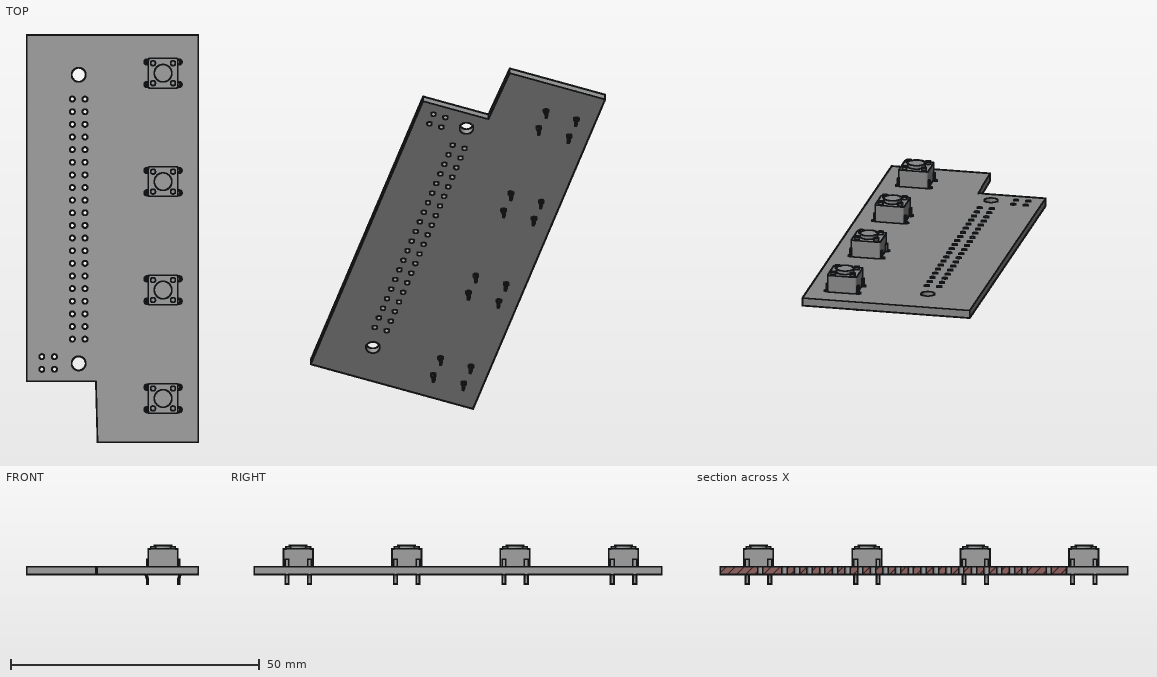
import cadquery as cq

BOARD_WIDTH = 34.5
BOARD_LENGTH = 82.0
BOARD_THICKNESS = 1.6
NOTCH_TOP_Y = -28.7
NOTCH_INNER_X = -3.4
NOTCH_OUTER_X = -3.0

HOLE_PITCH = 2.55
PIN_HOLE_DIAMETER = 1.0
HEADER_X = -6.8
HEADER_Y = 3.9
HEADER_COLUMNS = 2
HEADER_ROWS = 20
MOUNT_HOLE_DIAMETER = 2.8
MOUNT_HOLE_SPACING = 58.0
CORNER_GRID_X = -12.95
CORNER_GRID_Y = -25.0
CORNER_GRID_COUNT = 2

SWITCH_COUNT = 4
SWITCH_X = 10.2
SWITCH_PITCH = 21.8
SWITCH_COLUMN_Y = 0.6
CASE_SIZE = 6.0
CASE_HEIGHT = 3.5
CASE_CORNER_RADIUS = 0.3
BUTTON_DIAMETER = 3.5
BUTTON_HEIGHT = 0.7
STUD_DIAMETER = 1.0
STUD_HEIGHT = 0.5
STUD_SPACING = 4.0

LEG_WIDTH = 0.7
LEG_THICKNESS = 0.3
LEG_SPACING_Y = 4.5
LEG_TOP = 1.5
LEG_BOTTOM = -3.5
LEG_BEND_OFFSET = 0.25
LEG_BEND_END = -(BOARD_THICKNESS + 0.8)
LEG_HOLE_DIAMETER = 1.1
LEG_HOLE_OFFSET = 0.25
LEG_INNER_X = CASE_SIZE / 2
LEG_HOLE_X = LEG_INNER_X + LEG_HOLE_OFFSET

switch_places = [
    (SWITCH_X, SWITCH_COLUMN_Y + (index - (SWITCH_COUNT - 1) / 2) * SWITCH_PITCH)
    for index in range(SWITCH_COUNT)
]


def board_blank():
    """Flat plate with a slightly slanted notch in its -X, -Y corner."""
    right = BOARD_WIDTH / 2
    back = BOARD_LENGTH / 2
    outline = [
        (-right, back),
        (right, back),
        (right, -back),
        (NOTCH_OUTER_X, -back),
        (NOTCH_INNER_X, NOTCH_TOP_Y),
        (-right, NOTCH_TOP_Y),
    ]
    return cq.Workplane("XY").polyline(outline).close().extrude(-BOARD_THICKNESS)


def drills(places, diameter):
    """Cylinders through the board thickness at the given places."""
    return cq.Workplane("XY").pushPoints(places).circle(diameter / 2).extrude(-BOARD_THICKNESS)


def hole_grid(center_x, center_y, columns, rows):
    """Drills of a grid of pin holes on the common pitch."""
    places = (
        cq.Workplane("XY")
        .center(center_x, center_y)
        .rarray(HOLE_PITCH, HOLE_PITCH, columns, rows)
    )
    return places.circle(PIN_HOLE_DIAMETER / 2).extrude(-BOARD_THICKNESS)


def make_board():
    mount_places = [(HEADER_X, HEADER_Y + side * MOUNT_HOLE_SPACING / 2) for side in (-1, 1)]
    leg_places = [
        (x + side_x * LEG_HOLE_X, y + side_y * LEG_SPACING_Y / 2)
        for x, y in switch_places
        for side_x in (-1, 1)
        for side_y in (-1, 1)
    ]
    return (
        board_blank()
        .cut(hole_grid(HEADER_X, HEADER_Y, HEADER_COLUMNS, HEADER_ROWS))
        .cut(hole_grid(CORNER_GRID_X, CORNER_GRID_Y, CORNER_GRID_COUNT, CORNER_GRID_COUNT))
        .cut(drills(mount_places, MOUNT_HOLE_DIAMETER))
        .cut(drills(leg_places, LEG_HOLE_DIAMETER))
    )


def make_leg():
    """Leg on the +X side of the case: bulging outwards at the lower face of the board."""
    inner = LEG_INNER_X
    outer = inner + LEG_THICKNESS
    profile = [
        (inner, LEG_TOP),
        (outer, LEG_TOP),
        (outer, 0),
        (outer + LEG_BEND_OFFSET, -BOARD_THICKNESS),
        (outer, LEG_BEND_END),
        (outer, LEG_BOTTOM),
        (inner, LEG_BOTTOM),
        (inner, LEG_BEND_END),
        (inner + LEG_BEND_OFFSET, -BOARD_THICKNESS),
        (inner, 0),
    ]
    return cq.Workplane("XZ").polyline(profile).close().extrude(LEG_WIDTH / 2, both=True)


def make_switch():
    """Round-cornered case with a round button, four corner studs and four legs."""
    case = (
        cq.Workplane("XY")
        .rect(CASE_SIZE, CASE_SIZE)
        .extrude(CASE_HEIGHT)
        .edges("|Z")
        .fillet(CASE_CORNER_RADIUS)
    )
    case_top = cq.Workplane("XY").workplane(offset=CASE_HEIGHT)
    button = case_top.circle(BUTTON_DIAMETER / 2).extrude(BUTTON_HEIGHT)
    studs = (
        case_top.rect(STUD_SPACING, STUD_SPACING, forConstruction=True)
        .vertices()
        .circle(STUD_DIAMETER / 2)
        .extrude(STUD_HEIGHT)
    )
    switch = case.union(button).union(studs)
    right_leg = make_leg()
    for leg in (right_leg, right_leg.mirror("YZ")):
        for side_y in (-1, 1):
            switch = switch.union(leg.translate((0, side_y * LEG_SPACING_Y / 2, 0)))
    return switch


board = make_board()
switch = make_switch()
switches = [switch.translate((x, y, 0)) for x, y in switch_places]

result = cq.Compound.makeCompound([board.val(), *[placed.val() for placed in switches]])